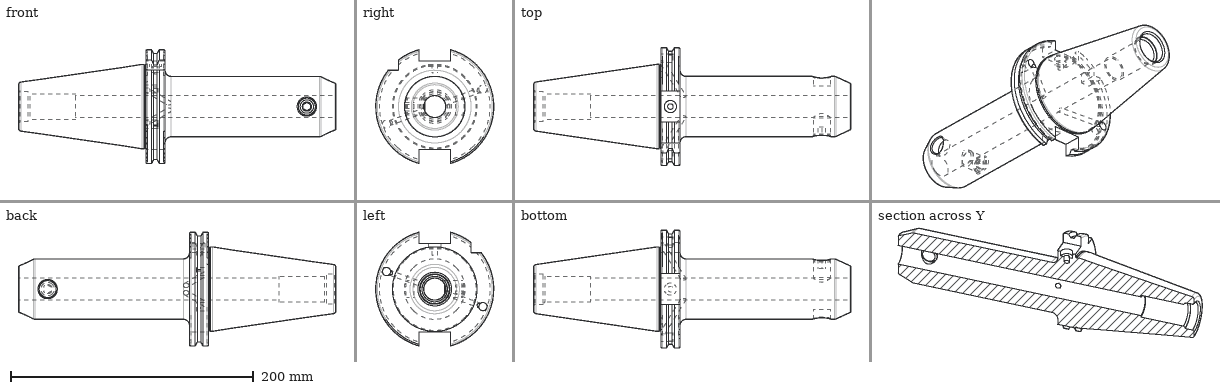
import cadquery as cq
import math


taper_length = 101.75
taper_ratio = 7 / 24
gauge_radius = 69.85 / 2
taper_end_radius = gauge_radius - taper_length * taper_ratio / 2
taper_end_fillet = 2.5

relief_start = 1.6
relief_depth = 0.8

flange_radius = 97.5 / 2
flange_start = 3.2
flange_end = 19.1
flange_fillet = 1.4
groove_center = 11.1
groove_half_width = 3.2
groove_depth = 3.1
groove_half_angle = 30
groove_root_radius = flange_radius - groove_depth
groove_root_half_width = groove_half_width - groove_depth * math.tan(math.radians(groove_half_angle))

nose_radius = 25.0
nose_end = 160.0
root_fillet = 5.0
nose_cone_length = 13.0
nose_tip_radius = 19.0
nose_shoulder_fillet = 3.0
nose_tip_fillet = 1.5

pilot_radius = 12.5
pilot_depth = 8.0
pilot_chamfer = 1.4
thread_core_radius = 10.5
thread_chamfer = 1.5
thread_depth = 47.0
tool_bore_radius = 9.0

slot_width = 25.7
upper_slot_floor = 37.7
lower_slot_floor = 35.5
notch_offset = 30.0

chip_radius = 5.0
chip_depth = 4.6
chip_pilot_radius = 2.3
chip_pilot_depth = 5.0
drill_point_half_angle = 59

coolant_circle_radius = 42.3
coolant_angle = 20.0
coolant_radius = 3.4
coolant_depth = 10.0
duct_radius = 2.0
duct_start_radius = 41.2
duct_slope = 60.0

screw_x = nose_end - 24.0
screw_radius = 7.0
screw_mouth_chamfer = 1.0
screw_top = 24.0
screw_length = 16.0
screw_chamfer = 1.5
socket_width = 6.0
socket_depth = 7.0
socket_mouth_radius = 3.8
balance_hole_depth = 8.0

cut_margin = 5.0
selection_margin = 0.5


def revolve_about_x(outline):
    return outline.close().revolve(360, (0, 0, 0), (1, 0, 0))


def rod(radius, length, start, direction):
    """Cylinder of the given length from a start point along a direction."""
    return cq.Workplane(cq.Solid.makeCylinder(radius, length, cq.Vector(*start), cq.Vector(*direction)))


def cone(start_radius, end_radius, length, start, direction):
    return cq.Workplane(
        cq.Solid.makeCone(start_radius, end_radius, length, cq.Vector(*start), cq.Vector(*direction))
    )


def make_taper():
    outline = (
        cq.Workplane("XY")
        .moveTo(-taper_length, 0)
        .lineTo(-taper_length, taper_end_radius)
        .lineTo(0, gauge_radius)
        .lineTo(relief_start, gauge_radius)
        .lineTo((relief_start + flange_start) / 2, gauge_radius - relief_depth)
        .lineTo(flange_start, gauge_radius)
        .lineTo(flange_start, 0)
    )
    return revolve_about_x(outline).faces("<X").edges().fillet(taper_end_fillet)


def make_flange():
    outline = (
        cq.Workplane("XY")
        .moveTo(flange_start, 0)
        .lineTo(flange_start, flange_radius - flange_fillet)
        .radiusArc((flange_start + flange_fillet, flange_radius), flange_fillet)
        .lineTo(groove_center - groove_half_width, flange_radius)
        .lineTo(groove_center - groove_root_half_width, groove_root_radius)
        .lineTo(groove_center + groove_root_half_width, groove_root_radius)
        .lineTo(groove_center + groove_half_width, flange_radius)
        .lineTo(flange_end - flange_fillet, flange_radius)
        .radiusArc((flange_end, flange_radius - flange_fillet), flange_fillet)
        .lineTo(flange_end, 0)
    )
    return revolve_about_x(outline)


def make_nose():
    cone_start = nose_end - nose_cone_length
    outline = (
        cq.Workplane("XY")
        .moveTo(flange_end, 0)
        .lineTo(flange_end, nose_radius + root_fillet)
        .radiusArc((flange_end + root_fillet, nose_radius), -root_fillet)
        .lineTo(cone_start, nose_radius)
        .lineTo(nose_end, nose_tip_radius)
        .lineTo(nose_end, 0)
    )
    nose = revolve_about_x(outline)
    reach = nose_radius + selection_margin
    shoulder = cq.selectors.BoxSelector(
        (cone_start - selection_margin, -reach, -reach),
        (cone_start + selection_margin, reach, reach),
    )
    nose = nose.edges(shoulder).fillet(nose_shoulder_fillet)
    return nose.faces(">X").edges().fillet(nose_tip_fillet)


def make_bore():
    mouth_radius = pilot_radius + pilot_chamfer
    outline = (
        cq.Workplane("XY")
        .moveTo(-taper_length, 0)
        .lineTo(-taper_length, mouth_radius)
        .lineTo(-taper_length + pilot_chamfer, pilot_radius)
        .lineTo(-taper_length + pilot_depth, pilot_radius)
        .lineTo(-taper_length + pilot_depth, thread_core_radius + thread_chamfer)
        .lineTo(-taper_length + pilot_depth + thread_chamfer, thread_core_radius)
        .lineTo(-taper_length + thread_depth, thread_core_radius)
        .lineTo(-taper_length + thread_depth, tool_bore_radius)
        .lineTo(nose_end, tool_bore_radius)
        .lineTo(nose_end, 0)
    )
    return revolve_about_x(outline)


def flange_cutter(width_y, center_y, floor_z, side):
    """Block over the flange length, from the floor outward along Z."""
    height = flange_radius - floor_z + cut_margin
    return cq.Workplane("XY").box(flange_end - flange_start, width_y, height).translate(
        ((flange_start + flange_end) / 2, center_y, side * (floor_z + height / 2))
    )


def make_chip_pocket():
    point_length = chip_pilot_radius / math.tan(math.radians(drill_point_half_angle))
    pocket_floor = upper_slot_floor - chip_depth
    pilot_floor = pocket_floor - chip_pilot_depth
    pocket = rod(chip_radius, chip_depth, (groove_center, 0, upper_slot_floor), (0, 0, -1))
    pilot = rod(chip_pilot_radius, chip_pilot_depth, (groove_center, 0, pocket_floor), (0, 0, -1))
    point = cone(chip_pilot_radius, 0, point_length, (groove_center, 0, pilot_floor), (0, 0, -1))
    return pocket.union(pilot).union(point)


def make_coolant_hole(angle):
    """Axial hole in the flange and the slanted duct that leads from it to the bore."""
    slope = math.radians(duct_slope)
    duct_length = duct_start_radius / math.sin(slope)
    hole = rod(coolant_radius, coolant_depth, (flange_start, coolant_circle_radius, 0), (1, 0, 0))
    duct = rod(
        duct_radius,
        duct_length + cut_margin,
        (
            flange_start - cut_margin * math.cos(slope),
            duct_start_radius + cut_margin * math.sin(slope),
            0,
        ),
        (math.cos(slope), -math.sin(slope), 0),
    )
    return hole.union(duct).rotate((0, 0, 0), (1, 0, 0), angle)


def cut_cross_hole(holder, depth, side):
    """Radial hole along Y with a chamfer that follows its saddle-shaped rim."""
    hole = rod(screw_radius, depth, (screw_x, side * nose_radius, 0), (0, -side, 0))
    reach = screw_radius + selection_margin
    rim_depth = nose_radius - math.sqrt(nose_radius**2 - screw_radius**2)
    rim = cq.selectors.BoxSelector(
        (screw_x - reach, side * (nose_radius - rim_depth - selection_margin), -reach),
        (screw_x + reach, side * (nose_radius + selection_margin), reach),
    )
    return holder.cut(hole).edges(rim).chamfer(screw_mouth_chamfer)


def make_holder():
    holder = make_taper().union(make_flange()).union(make_nose()).cut(make_bore())
    holder = holder.cut(flange_cutter(slot_width, 0, upper_slot_floor, 1))
    holder = holder.cut(flange_cutter(slot_width, 0, lower_slot_floor, -1))
    notch_width = flange_radius - notch_offset
    holder = holder.cut(flange_cutter(notch_width, -notch_offset - notch_width / 2, notch_offset, 1))
    holder = holder.cut(make_chip_pocket())
    for angle in (coolant_angle, coolant_angle + 180):
        holder = holder.cut(make_coolant_hole(angle))
    holder = cut_cross_hole(holder, nose_radius, -1)
    return cut_cross_hole(holder, balance_hole_depth, 1)


def make_screw():
    top = (screw_x, -screw_top, 0)
    screw = rod(screw_radius, screw_length, top, (0, 1, 0)).edges("%CIRCLE").chamfer(screw_chamfer)
    socket = (
        cq.Workplane("XZ", origin=top)
        .polygon(6, socket_width, circumscribed=True)
        .extrude(-socket_depth)
    )
    mouth = cone(socket_mouth_radius, 0, socket_mouth_radius, top, (0, 1, 0))
    return screw.cut(socket).cut(mouth)


holder = make_holder()
screw = make_screw()

result = cq.Compound.makeCompound([holder.val(), screw.val()])